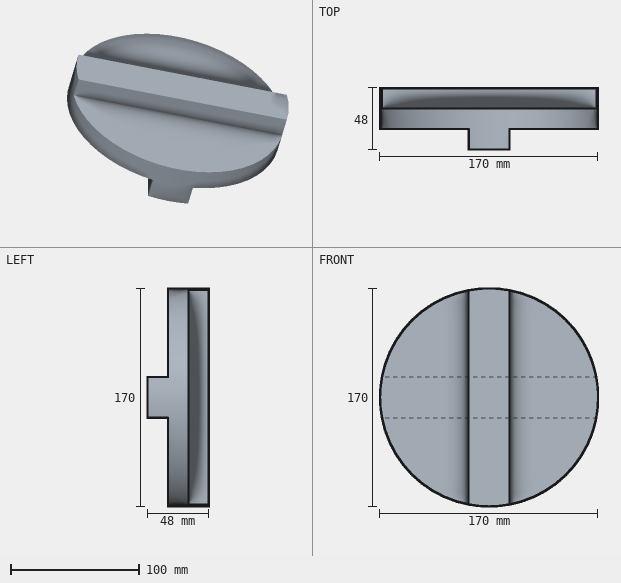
import cadquery as cq

disc_diameter = 170.0
disc_thickness = 16.0
tongue_width = 32.0
tongue_height = 16.0


def cylinder_along_y(y_start, length):
    """Full-diameter cylinder on the Y axis, from y_start towards +Y."""
    start_plane = cq.Workplane("XZ", origin=(0, y_start, 0))
    return start_plane.circle(disc_diameter / 2).extrude(-length)


def tongue(y_start, size_x, size_z):
    """Diametral tongue whose ends follow the rim of the disc."""
    bar = cq.Workplane("XY").box(size_x, tongue_height, size_z)
    bar = bar.translate((0, y_start + tongue_height / 2, 0))
    return bar.intersect(cylinder_along_y(y_start, tongue_height))


front_face_y = -disc_thickness / 2
back_face_y = disc_thickness / 2

disc = cylinder_along_y(front_face_y, disc_thickness)
vertical_tongue = tongue(front_face_y - tongue_height, tongue_width, disc_diameter)
horizontal_tongue = tongue(back_face_y, disc_diameter, tongue_width)

result = disc.union(vertical_tongue).union(horizontal_tongue)